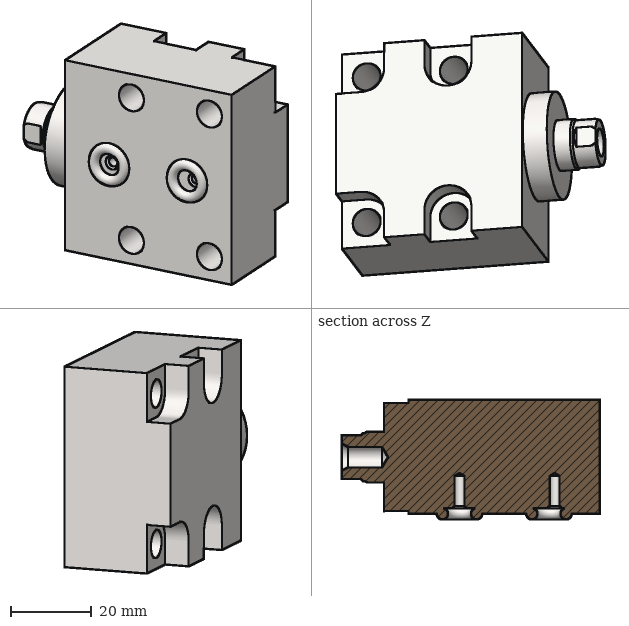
import cadquery as cq
import math

block_length = 47.54
block_height = 50.8
block_depth = 28.35
back_y = 14.29
front_y = back_y - block_depth

flange_diameter = 27.0
flange_length = 6.1

overall_length = 64.14
stem_length = overall_length - block_length - flange_length
collar_diameter = 12.7
collar_length = 4.2
collar_chamfer_length = 0.6
tip_diameter = 12.0
tip_edge_drop = 0.25
tip_edge_length = 1.0
stem_start_x = -flange_length
stem_tip_x = stem_start_x - stem_length

flat_spacing = 10.9
flat_length = 4.8

tip_hole_diameter = 5.05
tip_hole_taper_diameter = 6.35
tip_hole_taper_end = 1.6
tip_hole_mouth_diameter = 7.0
tip_hole_depth = 10.0
drill_point_angle = 118.0

mount_hole_diameter = 7.1
mount_hole_columns = (18.95, 41.2)
mount_hole_row = 19.05
recess_radius = 6.0
recess_depth = 6.3

ring_columns = (12.67, 34.9)
ring_outer_diameter = 11.36
ring_section_diameter = 2.84
ring_centreline_radius = (ring_outer_diameter - ring_section_diameter) / 2
ring_recess_depth = 1.35
port_offsets = (0.0, 1.4)
port_diameter = 2.4
port_mouth_diameter = 3.6
port_depth = 8.0


def turned_about_x(points):
    """Solid of revolution about the X axis from (x, radius) points."""
    return cq.Workplane("XY").polyline(points).close().revolve(360, (0, 0, 0), (1, 0, 0))


def drill_point_length(diameter):
    """Length of the conical bottom left by a drill."""
    return diameter / 2 / math.tan(math.radians(drill_point_angle / 2))


def make_block():
    block = cq.Workplane("XY").box(block_length, block_depth, block_height, centered=(False, False, True))
    return block.translate((0, front_y, 0))


def make_stem():
    collar_end_x = stem_start_x - collar_length
    tip_radius = tip_diameter / 2
    return turned_about_x(
        [
            (0, 0),
            (0, flange_diameter / 2),
            (stem_start_x, flange_diameter / 2),
            (stem_start_x, collar_diameter / 2),
            (collar_end_x, collar_diameter / 2),
            (collar_end_x - collar_chamfer_length, tip_radius),
            (stem_tip_x + tip_edge_length, tip_radius),
            (stem_tip_x, tip_radius - tip_edge_drop),
            (stem_tip_x, 0),
        ]
    )


def wrench_flat_cutter(side):
    """Cutter for the flat on one side (+1 or -1) of the stem, with a sloped end."""
    inner_y = flat_spacing / 2
    outer_y = collar_diameter / 2
    flat_end_x = stem_tip_x + flat_length
    return (
        cq.Workplane("XY")
        .polyline(
            [
                (stem_tip_x, side * inner_y),
                (flat_end_x, side * inner_y),
                (flat_end_x + outer_y - inner_y, side * outer_y),
                (stem_tip_x, side * outer_y),
            ]
        )
        .close()
        .extrude(collar_diameter / 2, both=True)
    )


def tip_hole_cutter():
    mouth_chamfer = (tip_hole_mouth_diameter - tip_hole_taper_diameter) / 2
    bottom_x = stem_tip_x + tip_hole_depth
    return turned_about_x(
        [
            (stem_tip_x, 0),
            (stem_tip_x, tip_hole_mouth_diameter / 2),
            (stem_tip_x + mouth_chamfer, tip_hole_taper_diameter / 2),
            (stem_tip_x + tip_hole_taper_end, tip_hole_diameter / 2),
            (bottom_x, tip_hole_diameter / 2),
            (bottom_x + drill_point_length(tip_hole_diameter), 0),
        ]
    )


def mount_hole_cutter(x, z):
    return cq.Workplane("XZ", origin=(x, back_y, z)).circle(mount_hole_diameter / 2).extrude(block_depth)


def recess_cutter(x, end_side, open_to_right):
    """Round-floored recess around a mounting hole, open to the top (+1) or bottom (-1)."""
    centre_z = end_side * mount_hole_row
    floor_z = centre_z - end_side * recess_radius
    end_z = end_side * block_height / 2
    right_x = block_length if open_to_right else x + recess_radius
    diagonal = recess_radius * math.sqrt(0.5)
    outline = (
        cq.Workplane("XZ", origin=(0, back_y, 0))
        .moveTo(right_x, end_z)
        .lineTo(x - recess_radius, end_z)
        .lineTo(x - recess_radius, centre_z)
        .threePointArc((x - diagonal, centre_z - end_side * diagonal), (x, floor_z))
    )
    if open_to_right:
        outline = outline.lineTo(right_x, floor_z)
    else:
        outline = outline.threePointArc((x + diagonal, centre_z - end_side * diagonal), (right_x, centre_z))
    return outline.close().extrude(recess_depth)


def ring_recess_cutter(x):
    """Recess reaching out to the ring centreline; the ring itself fills its outer part."""
    floor_y = front_y + ring_recess_depth
    return cq.Workplane("XZ", origin=(x, floor_y, 0)).circle(ring_centreline_radius).extrude(ring_recess_depth)


def make_ring(x):
    ring = cq.Solid.makeTorus(
        ring_centreline_radius, ring_section_diameter / 2, cq.Vector(x, front_y, 0), cq.Vector(0, 1, 0)
    )
    return cq.Workplane("XY").add(ring)


def port_cutter(x):
    """Countersunk blind hole drilled from the recess floor."""
    floor_y = front_y + ring_recess_depth
    radius = port_diameter / 2
    mouth_radius = port_mouth_diameter / 2
    bottom_y = floor_y + port_depth
    return (
        cq.Workplane("XY")
        .polyline(
            [
                (x, floor_y),
                (x + mouth_radius, floor_y),
                (x + radius, floor_y + mouth_radius - radius),
                (x + radius, bottom_y),
                (x, bottom_y + drill_point_length(port_diameter)),
            ]
        )
        .close()
        .revolve(360, (x, 0, 0), (x, 1, 0))
    )


result = make_block().union(make_stem()).cut(tip_hole_cutter())

for side in (1, -1):
    result = result.cut(wrench_flat_cutter(side))

for end_side in (1, -1):
    for x in mount_hole_columns:
        is_right_column = x == max(mount_hole_columns)
        result = result.cut(mount_hole_cutter(x, end_side * mount_hole_row))
        result = result.cut(recess_cutter(x, end_side, open_to_right=is_right_column))

for x, port_offset in zip(ring_columns, port_offsets):
    result = result.cut(ring_recess_cutter(x))
    result = result.cut(port_cutter(x + port_offset))
    result = result.union(make_ring(x))